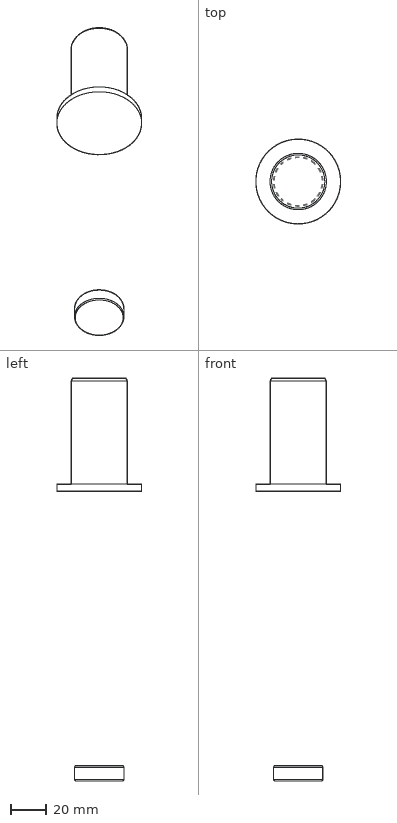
import cadquery as cq

total_height = 228.0

flange_diameter = 48.0
flange_thickness = 4.0
pin_height = 64.0
shank_diameter = 32.0
shank_chamfer_height = 1.5
shank_chamfer_inset = 1.0

disc_diameter = 28.0
disc_thickness = 8.7
disc_chamfer_height = 1.0
disc_chamfer_inset = 0.5


def revolve_profile(points):
    """Revolve a closed (radius, height) outline about the Z axis."""
    axis_start = (0, 0)
    axis_end = (0, 1)
    return cq.Workplane("XZ").polyline(points).close().revolve(360, axis_start, axis_end)


def make_pin():
    """Flanged pin with a steep chamfer on its free end; its top is at the total height."""
    flange_radius = flange_diameter / 2
    shank_radius = shank_diameter / 2
    flange_bottom = total_height - pin_height
    flange_top = flange_bottom + flange_thickness
    return revolve_profile([
        (0, flange_bottom),
        (flange_radius, flange_bottom),
        (flange_radius, flange_top),
        (shank_radius, flange_top),
        (shank_radius, total_height - shank_chamfer_height),
        (shank_radius - shank_chamfer_inset, total_height),
        (0, total_height),
    ])


def make_disc():
    """Flat disc standing on Z = 0, with a steep chamfer around both faces."""
    disc_radius = disc_diameter / 2
    face_radius = disc_radius - disc_chamfer_inset
    return revolve_profile([
        (0, 0),
        (face_radius, 0),
        (disc_radius, disc_chamfer_height),
        (disc_radius, disc_thickness - disc_chamfer_height),
        (face_radius, disc_thickness),
        (0, disc_thickness),
    ])


pin = make_pin()
disc = make_disc()

result = cq.Compound.makeCompound([pin.val(), disc.val()])